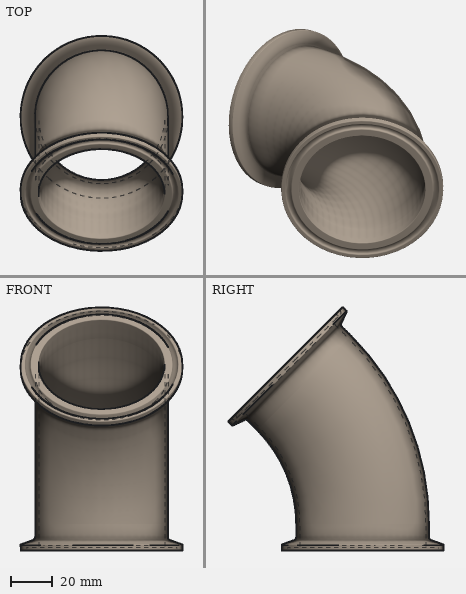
import cadquery as cq
import math

tube_diameter = 63.5
bore_diameter = 60.2
bend_radius = 95.3
bend_angle = 45.0

ferrule_length = 12.7
flange_diameter = 77.4
rim_thickness = 2.9
cone_angle = 20.0
neck_fillet = 1.2
rim_fillet = 0.3
bore_edge_fillet = 0.3

groove_diameter = 70.5
groove_depth = 1.6
groove_floor_radius = 1.2
groove_lip_radius = 0.5
groove_wall_angle = 70.0

tube_radius = tube_diameter / 2
bore_radius = bore_diameter / 2
flange_radius = flange_diameter / 2
cone_height = (flange_radius - tube_radius) * math.tan(math.radians(cone_angle))

groove_radius = groove_diameter / 2
wall_slope = math.radians(groove_wall_angle)
wall_top_z = groove_lip_radius * (1 - math.cos(wall_slope))
wall_bottom_z = groove_depth - groove_floor_radius * (1 - math.cos(wall_slope))
wall_bottom_offset = groove_floor_radius * math.sin(wall_slope)
wall_top_offset = wall_bottom_offset + (wall_bottom_z - wall_top_z) / math.tan(wall_slope)
groove_half_opening = wall_top_offset + groove_lip_radius * math.sin(wall_slope)

smallest_radius = cq.selectors.RadiusNthSelector(0)
largest_radius = cq.selectors.RadiusNthSelector(-1)


def make_ferrule():
    """Ferrule along +Z with its grooved sealing face on Z = 0."""
    body = (
        cq.Workplane("XZ")
        .moveTo(bore_radius, 0)
        .lineTo(groove_radius - groove_half_opening, 0)
        .tangentArcPoint((groove_radius - wall_top_offset, wall_top_z), relative=False)
        .lineTo(groove_radius - wall_bottom_offset, wall_bottom_z)
        .tangentArcPoint((groove_radius + wall_bottom_offset, wall_bottom_z), relative=False)
        .lineTo(groove_radius + wall_top_offset, wall_top_z)
        .tangentArcPoint((groove_radius + groove_half_opening, 0), relative=False)
        .lineTo(flange_radius, 0)
        .lineTo(flange_radius, rim_thickness)
        .lineTo(tube_radius, rim_thickness + cone_height)
        .lineTo(tube_radius, ferrule_length)
        .lineTo(bore_radius, ferrule_length)
        .close()
        .revolve(360, (0, 0, 0), (0, 1, 0))
    )
    body = body.faces("%CONE").edges(smallest_radius).fillet(neck_fillet)
    body = body.faces("<Z").edges(smallest_radius).fillet(bore_edge_fillet)
    return body.edges(largest_radius).fillet(rim_fillet)


def make_bend():
    """Tube bent towards -Y, starting on top of the lower ferrule."""
    return (
        cq.Workplane("XY", origin=(0, 0, ferrule_length))
        .circle(tube_radius)
        .circle(bore_radius)
        .revolve(bend_angle, (0, -bend_radius, 0), (1, -bend_radius, 0))
    )


lower_ferrule = make_ferrule()

upper_ferrule = lower_ferrule.mirror("XY", (0, 0, ferrule_length)).rotate(
    (0, -bend_radius, ferrule_length), (1, -bend_radius, ferrule_length), bend_angle
)

result = lower_ferrule.union(make_bend()).union(upper_ferrule)